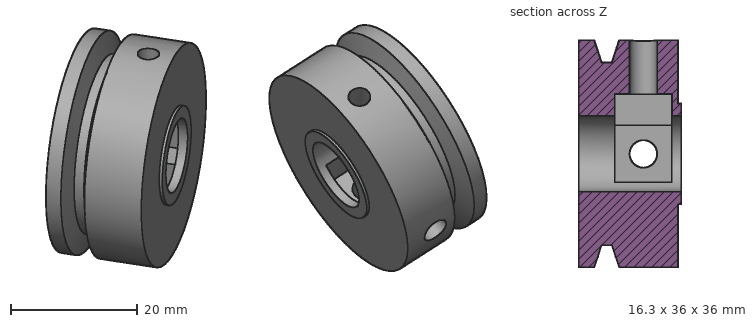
import cadquery as cq

rim_diameter = 36.0
groove_diameter = 29.0
boss_diameter = 16.0
bore_diameter = 12.0
overall_length = 16.27
boss_length = 0.5
body_length = overall_length - boss_length

flange_width = 2.5
groove_floor_width = 1.6
groove_flank_width = 1.15

set_screw_diameter = 3.45
set_screw_x = 11.6

pocket_width = 9.0
pocket_reach = 9.45
pocket_x = 10.25
pocket_hole_diameter = 4.32

rim_radius = rim_diameter / 2
cut_reach = rim_diameter


def make_profile():
    """Half section of the pulley in the XY plane, from the axis outward."""
    groove_radius = groove_diameter / 2
    boss_radius = boss_diameter / 2
    floor_start = flange_width + groove_flank_width
    floor_end = floor_start + groove_floor_width
    groove_end = floor_end + groove_flank_width
    return (
        cq.Workplane("XY")
        .moveTo(0, 0)
        .lineTo(0, rim_radius)
        .lineTo(flange_width, rim_radius)
        .lineTo(floor_start, groove_radius)
        .lineTo(floor_end, groove_radius)
        .lineTo(groove_end, rim_radius)
        .lineTo(body_length, rim_radius)
        .lineTo(body_length, boss_radius)
        .lineTo(overall_length, boss_radius)
        .lineTo(overall_length, 0)
        .close()
    )


def make_bore():
    return cq.Workplane("YZ").circle(bore_diameter / 2).extrude(overall_length)


def make_radial_plane(x, direction):
    """Workplane on the axis at x, facing outward, with its sides along the part's axes."""
    return cq.Workplane(cq.Plane(origin=(x, 0, 0), xDir=(1, 0, 0), normal=direction))


def make_radial_hole(x, direction, diameter):
    return make_radial_plane(x, direction).circle(diameter / 2).extrude(cut_reach)


def make_pocket(direction):
    """Square pocket from the axis outward, closed short of the rim."""
    return make_radial_plane(pocket_x, direction).rect(pocket_width, pocket_width).extrude(pocket_reach)


result = make_profile().revolve(360, (0, 0, 0), (1, 0, 0))
result = result.cut(make_bore())
result = result.cut(make_radial_hole(set_screw_x, (0, 0, 1), set_screw_diameter))

for pocket_direction in ((0, 1, 0), (0, 0, -1)):
    result = result.cut(make_pocket(pocket_direction))
    result = result.cut(make_radial_hole(pocket_x, pocket_direction, pocket_hole_diameter))